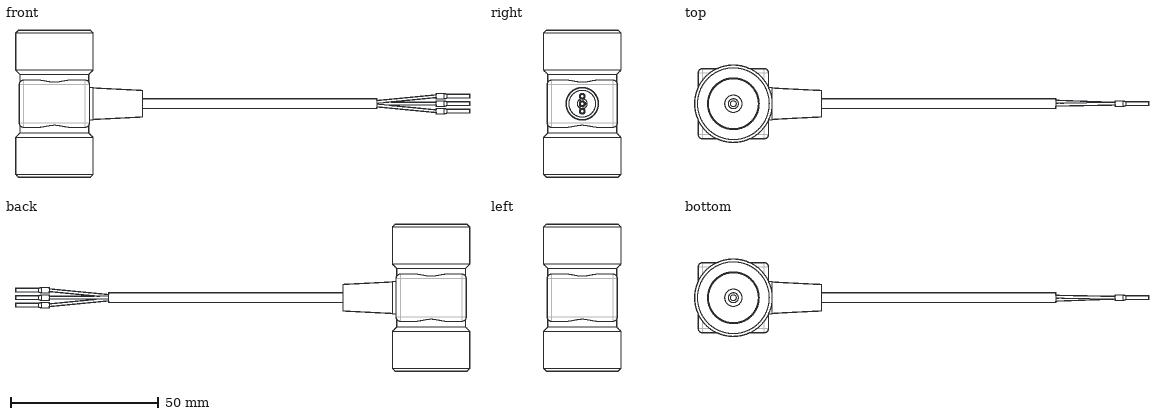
import cadquery as cq
import math


block_width = 24.0
block_height = 16.0
block_fillet = 1.5

connector_dia = 26.5
neck_dia = 23.5
overall_length = 154.5
overall_height = 50.0
shoulder_z = 11.5
rim_chamfer = 1.0

bore_dia = 17.0
bore_depth = 2.6
bore_chamfer = 0.3

nozzle_base_dia = 5.9
nozzle_tip_dia = 3.4
nozzle_height = 0.8
nozzle_hole_dia = 2.0
nozzle_hole_depth = 1.5

relief_collar_dia = 11.1
relief_collar_end_x = 13.1
relief_root_dia = 10.8
relief_tip_dia = 9.1
relief_end_x = 30.0
cable_dia = 3.4
cable_end_x = 109.7

wire_dia = 1.0
wire_spacing = 1.2

ferrule_gap = 0.54
ferrule_start_x = 129.8
sleeve_dia = 2.0
sleeve_length = 2.8
taper_length = 1.0
pin_dia = 1.35

ferrule_spacing = sleeve_dia + ferrule_gap
connector_radius = connector_dia / 2
neck_radius = neck_dia / 2
connector_face_z = overall_height / 2
bore_floor_z = connector_face_z - bore_depth
pin_end_x = overall_length - connector_radius
x_direction = cq.Vector(1, 0, 0)
ferrule_heights = [0, -ferrule_spacing, ferrule_spacing]
wire_count = len(ferrule_heights)


def make_block():
    """Square block with every edge rounded."""
    return cq.Workplane("XY").box(block_width, block_width, block_height).edges().fillet(block_fillet)


def make_connector():
    """Upper connector turned about Z: neck, sloped shoulder, chamfered rim and bored face."""
    bore_radius = bore_dia / 2
    shoulder_rise = connector_radius - neck_radius
    outline = [
        (0, 0),
        (neck_radius, 0),
        (neck_radius, shoulder_z - shoulder_rise),
        (connector_radius, shoulder_z),
        (connector_radius, connector_face_z - rim_chamfer),
        (connector_radius - rim_chamfer, connector_face_z),
        (bore_radius + bore_chamfer, connector_face_z),
        (bore_radius, connector_face_z - bore_chamfer),
        (bore_radius, bore_floor_z),
        (nozzle_base_dia / 2, bore_floor_z),
        (nozzle_tip_dia / 2, bore_floor_z + nozzle_height),
        (nozzle_hole_dia / 2, bore_floor_z + nozzle_height),
        (nozzle_hole_dia / 2, bore_floor_z + nozzle_height - nozzle_hole_depth),
        (0, bore_floor_z + nozzle_height - nozzle_hole_depth),
    ]
    return cq.Workplane("XZ").polyline(outline).close().revolve(360, (0, 0), (0, 1))


def make_relief_and_cable():
    """Collar, tapered strain relief and cable turned about X."""
    outline = [
        (0, 0),
        (0, relief_collar_dia / 2),
        (relief_collar_end_x, relief_collar_dia / 2),
        (relief_collar_end_x, relief_root_dia / 2),
        (relief_end_x, relief_tip_dia / 2),
        (relief_end_x, cable_dia / 2),
        (cable_end_x, cable_dia / 2),
        (cable_end_x, 0),
    ]
    return cq.Workplane("XZ").polyline(outline).close().revolve(360, (0, 0), (1, 0))


def wire_start(index):
    """Centre of a wire on the cable end: one corner of a triangle that points to +Y."""
    angle = math.radians(90 + index * 360 / wire_count)
    corner_radius = wire_spacing / math.sqrt(3)
    return cq.Vector(cable_end_x, corner_radius * math.sin(angle), corner_radius * math.cos(angle))


def make_wire(index):
    """Wire that runs obliquely to its ferrule and continues straight into the ferrule socket."""
    start = wire_start(index)
    end = cq.Vector(ferrule_start_x, 0, ferrule_heights[index])
    section = cq.Wire.makeCircle(wire_dia / 2, start, x_direction)
    oblique_part = cq.Solid.extrudeLinear(section, [], end - start)
    socket_part = cq.Solid.makeCylinder(wire_dia / 2, sleeve_length, end, x_direction)
    return cq.Workplane(oblique_part).union(cq.Workplane(socket_part))


def make_sensor():
    """Block, both connectors, strain relief, cable and its wires as one body."""
    connector = make_connector()
    sensor = make_block().union(connector).union(connector.mirror("XY")).union(make_relief_and_cable())
    for index in range(wire_count):
        sensor = sensor.union(make_wire(index))
    return sensor


def make_ferrule(z):
    """Ferrule along X at height z: sleeve with a wire socket, short taper and solid pin."""
    sleeve_end_x = ferrule_start_x + sleeve_length
    pin_start_x = sleeve_end_x + taper_length
    outline = [
        (ferrule_start_x, wire_dia / 2),
        (ferrule_start_x, sleeve_dia / 2),
        (sleeve_end_x, sleeve_dia / 2),
        (pin_start_x, pin_dia / 2),
        (pin_end_x, pin_dia / 2),
        (pin_end_x, 0),
        (sleeve_end_x, 0),
        (sleeve_end_x, wire_dia / 2),
    ]
    ferrule = cq.Workplane("XZ").polyline(outline).close().revolve(360, (0, 0), (1, 0))
    return ferrule.translate((0, 0, z))


sensor = make_sensor()
ferrules = [make_ferrule(z) for z in ferrule_heights]
result = cq.Compound.makeCompound([sensor.val(), *[ferrule.val() for ferrule in ferrules]])